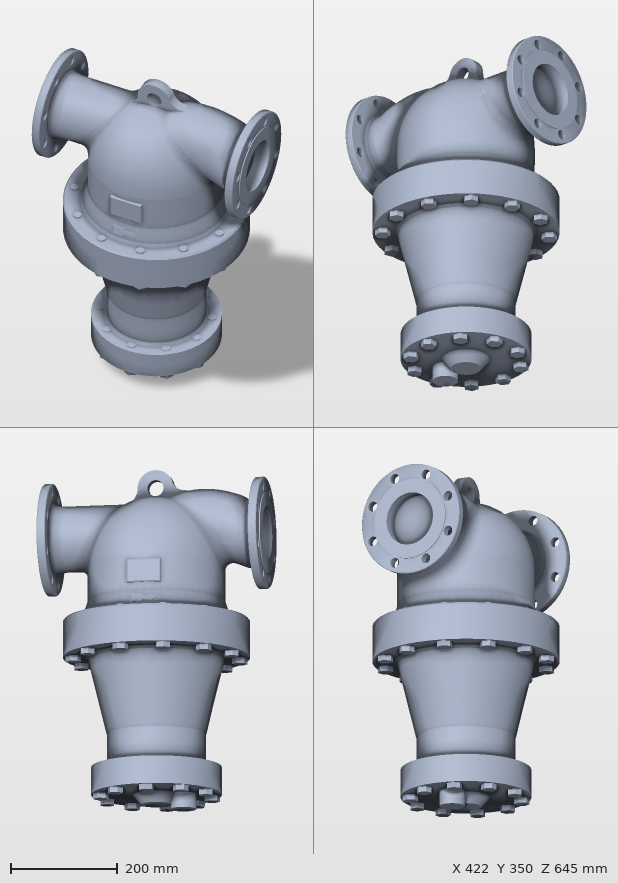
import cadquery as cq
import math

COVER_BOTTOM = 29.0
LOWER_FLANGE_TOP = 81.0
LOWER_PIPE_TOP = 144.0
REDUCER_BOTTOM = 147.5
UPPER_FLANGE_BOTTOM = 290.0
UPPER_FLANGE_TOP = 362.0
SKIRT_TOP = 396.5
DOME_EQUATOR = 466.0
NOZZLE_HEIGHT = 520.5
LUG_TOP = 645.0

BODY_RADIUS = 257.0 / 2
SKIRT_RADIUS = 138.5
SKIRT_FLARE = 6.0
UPPER_FLANGE_RADIUS = 350.0 / 2
UPPER_FLANGE_CHAMFER = 3.0
REDUCER_TOP_RADIUS = 128.0
REDUCER_FLARE = 5.0
REDUCER_BOTTOM_RADIUS = 94.0
LOWER_PIPE_RADIUS = 186.0 / 2
LOWER_HUB_RADIUS = 200 / 2
LOWER_HUB_HEIGHT = 5.0
LOWER_FLANGE_RADIUS = 245 / 2

BOLT_DIAMETER = 16.0
BOLT_HEAD_FLATS = 25.0
BOLT_HEAD_HEIGHT = 10.0
UPPER_BOLT_TIP = 3.0
LOWER_BOLT_TIP = 2.0
UPPER_BOLT_COUNT = 12
UPPER_BOLT_CIRCLE = 156.0
LOWER_BOLT_COUNT = 10
LOWER_BOLT_CIRCLE = 105.0

COVER_TOP_RADIUS = 45.0
COVER_TIP_RADIUS = 28.5
COVER_TIP_HEIGHT = 10.0
DRAIN_DIAMETER = 48.0
DRAIN_OFFSET = 51.5

NOZZLE_REACH = 211.0
RAISED_FACE_HEIGHT = 2.0
RAISED_FACE_RADIUS = 76.0
NOZZLE_FLANGE_RADIUS = 210.0 / 2
NOZZLE_FLANGE_THICKNESS = 16.0
NOZZLE_FLANGE_CHAMFER = 1.0
NOZZLE_BOLT_HOLES = 8
NOZZLE_BOLT_HOLE_DIAMETER = 19.0
NOZZLE_BOLT_CIRCLE = 88.0
NOZZLE_BORE_RADIUS = 100.0 / 2
NOZZLE_BORE_DEPTH = 29.0
PIPE_RADIUS = 124.0 / 2
HUB_START = 173.5
HUB_RADIUS = 64.5
NOZZLE_FLANGE_FLARE = 4.0
NOZZLE_BLEND = 16.0

CROWN_RADIUS = 174.0
CROWN_CENTER_X = 92.0
CROWN_TOP = 607.0
ELBOW_SECTION_ANGLES = (-35, -15, 0, 12)

LUG_RADIUS = 34.0
LUG_HOLE_DIAMETER = 30.0
LUG_THICKNESS = 20.0
LUG_SHOULDER_ANGLE = 25
LUG_INLET_FOOT = (-52.0, 583.0)
LUG_INLET_FLARE = (-40.0, 592.5)
LUG_OUTLET_FLARE = (38.0, 612.0)
LUG_OUTLET_FLARE_END = (51.0, 605.5)
LUG_OUTLET_FOOT = (62.0, 604.0)

PLATE_WIDTH = 64.5
PLATE_HEIGHT = 44.0
PLATE_CENTER_HEIGHT = 433.0
PLATE_FACE = 131.5
PLATE_EDGE = 2.0
ARROW_HEIGHT = 380.5
ARROW_RELIEF = 2.0
ARROW_TAIL = -25.0
ARROW_NOTCH = -22.0
ARROW_NECK = -1.0
ARROW_HEAD = 13.0
ARROW_TIP = 24.5
ARROW_HALF_WIDTH = 8.0
ARROW_NECK_HALF_WIDTH = 3.0


def body():
    """Dome, skirt, flanges, reducer and lower pipe as one revolved profile."""
    dome_mid = BODY_RADIUS * math.sqrt(0.5)
    skirt_foot = UPPER_FLANGE_TOP + SKIRT_FLARE
    chamfer_start = UPPER_FLANGE_RADIUS - UPPER_FLANGE_CHAMFER
    profile = (
        cq.Workplane("XZ")
        .moveTo(0, COVER_BOTTOM)
        .lineTo(LOWER_FLANGE_RADIUS, COVER_BOTTOM)
        .lineTo(LOWER_FLANGE_RADIUS, LOWER_FLANGE_TOP)
        .lineTo(LOWER_HUB_RADIUS, LOWER_FLANGE_TOP)
        .lineTo(LOWER_PIPE_RADIUS, LOWER_FLANGE_TOP + LOWER_HUB_HEIGHT)
        .lineTo(LOWER_PIPE_RADIUS, LOWER_PIPE_TOP)
        .lineTo(REDUCER_BOTTOM_RADIUS, REDUCER_BOTTOM)
        .lineTo(REDUCER_TOP_RADIUS, UPPER_FLANGE_BOTTOM - REDUCER_FLARE)
        .lineTo(REDUCER_TOP_RADIUS + REDUCER_FLARE, UPPER_FLANGE_BOTTOM)
        .lineTo(UPPER_FLANGE_RADIUS, UPPER_FLANGE_BOTTOM)
        .lineTo(UPPER_FLANGE_RADIUS, UPPER_FLANGE_TOP - UPPER_FLANGE_CHAMFER)
        .lineTo(chamfer_start, UPPER_FLANGE_TOP)
        .lineTo(SKIRT_RADIUS + SKIRT_FLARE, UPPER_FLANGE_TOP)
        .lineTo(SKIRT_RADIUS, skirt_foot)
        .lineTo(BODY_RADIUS, SKIRT_TOP)
        .lineTo(BODY_RADIUS, DOME_EQUATOR)
        .threePointArc((dome_mid, DOME_EQUATOR + dome_mid), (0, DOME_EQUATOR + BODY_RADIUS))
        .close()
    )
    return profile.revolve(360, (0, 0, 0), (0, 1, 0)).rotate((0, 0, 0), (0, 0, 1), 90)


def inlet_pipe():
    """Straight pipe from the body axis out to the hub of the inlet flange."""
    return cq.Workplane("YZ", origin=(-HUB_START, 0, NOZZLE_HEIGHT)).circle(PIPE_RADIUS).extrude(HUB_START)


def outlet_elbow():
    """Pipe that rises out of the dome and dips to the outlet flange."""
    sections = []
    for angle in ELBOW_SECTION_ANGLES:
        tilt = math.radians(angle)
        outward = cq.Vector(math.sin(tilt), 0, math.cos(tilt))
        along = cq.Vector(math.cos(tilt), 0, -math.sin(tilt))
        crown_center = cq.Vector(CROWN_CENTER_X, 0, CROWN_TOP - CROWN_RADIUS)
        center = crown_center + outward * (CROWN_RADIUS - PIPE_RADIUS)
        sections.append(cq.Wire.makeCircle(PIPE_RADIUS, center, along))
    hub_center = cq.Vector(HUB_START, 0, NOZZLE_HEIGHT)
    sections.append(cq.Wire.makeCircle(HUB_RADIUS, hub_center, cq.Vector(1, 0, 0)))
    return cq.Workplane(cq.Solid.makeLoft(sections))


def nozzle_flange(side, hub_start_radius):
    """Flange with hub and raised face; side is -1 for the inlet, +1 for the outlet."""
    face = NOZZLE_REACH - RAISED_FACE_HEIGHT
    back = face - NOZZLE_FLANGE_THICKNESS
    rim = NOZZLE_FLANGE_RADIUS - NOZZLE_FLANGE_CHAMFER
    points = [
        (HUB_START, 0),
        (HUB_START, hub_start_radius),
        (back - NOZZLE_FLANGE_FLARE, HUB_RADIUS),
        (back, HUB_RADIUS + NOZZLE_FLANGE_FLARE),
        (back, rim),
        (back + NOZZLE_FLANGE_CHAMFER, NOZZLE_FLANGE_RADIUS),
        (face - NOZZLE_FLANGE_CHAMFER, NOZZLE_FLANGE_RADIUS),
        (face, rim),
        (face, RAISED_FACE_RADIUS),
        (NOZZLE_REACH, RAISED_FACE_RADIUS),
        (NOZZLE_REACH, 0),
    ]
    outline = [(side * x, radius) for x, radius in points]
    flange = (
        cq.Workplane("XZ", origin=(0, 0, NOZZLE_HEIGHT))
        .polyline(outline)
        .close()
        .revolve(360, (0, 0, 0), (1, 0, 0))
    )
    bolt_holes = (
        cq.Workplane("YZ", origin=(side * back, 0, NOZZLE_HEIGHT))
        .polarArray(NOZZLE_BOLT_CIRCLE, 180 / NOZZLE_BOLT_HOLES, 360, NOZZLE_BOLT_HOLES)
        .circle(NOZZLE_BOLT_HOLE_DIAMETER / 2)
        .extrude(side * NOZZLE_FLANGE_THICKNESS)
    )
    return flange.cut(bolt_holes)


def nozzle_bore(side):
    """Blind bore in the face of a nozzle flange."""
    return (
        cq.Workplane("YZ", origin=(side * NOZZLE_REACH, 0, NOZZLE_HEIGHT))
        .circle(NOZZLE_BORE_RADIUS)
        .extrude(-side * NOZZLE_BORE_DEPTH)
    )


def lifting_lug():
    """Upright eye plate with flared feet on top of the dome."""
    center_height = LUG_TOP - LUG_RADIUS
    shoulder = math.radians(LUG_SHOULDER_ANGLE)
    shoulder_point = (LUG_RADIUS * math.cos(shoulder), center_height + LUG_RADIUS * math.sin(shoulder))
    foot_height = DOME_EQUATOR + BODY_RADIUS / 2
    return (
        cq.Workplane("XZ", origin=(0, LUG_THICKNESS / 2, 0))
        .moveTo(LUG_INLET_FOOT[0], foot_height)
        .lineTo(*LUG_INLET_FOOT)
        .threePointArc(LUG_INLET_FLARE, (-LUG_RADIUS, center_height))
        .threePointArc((0, LUG_TOP), shoulder_point)
        .threePointArc(LUG_OUTLET_FLARE, LUG_OUTLET_FLARE_END)
        .lineTo(*LUG_OUTLET_FOOT)
        .lineTo(LUG_OUTLET_FOOT[0], foot_height)
        .close()
        .extrude(LUG_THICKNESS)
    )


def lug_hole():
    """Cutter for the eye of the lifting lug."""
    return (
        cq.Workplane("XZ", origin=(0, LUG_THICKNESS, LUG_TOP - LUG_RADIUS))
        .circle(LUG_HOLE_DIAMETER / 2)
        .extrude(2 * LUG_THICKNESS)
    )


def bolt(flange_bottom, tip):
    """Bolt on the Z axis, hex head below the flange pair and shank up to the tip height."""
    head_corners = BOLT_HEAD_FLATS / math.cos(math.radians(30))
    head = (
        cq.Workplane("XY", origin=(0, 0, flange_bottom - BOLT_HEAD_HEIGHT))
        .polygon(6, head_corners)
        .extrude(BOLT_HEAD_HEIGHT)
    )
    shank = (
        cq.Workplane("XY", origin=(0, 0, flange_bottom))
        .circle(BOLT_DIAMETER / 2)
        .extrude(tip - flange_bottom)
    )
    return head.union(shank)


def bolt_ring(one_bolt, radius, count):
    """List of bolts spaced evenly around the Z axis, straddling the +X direction."""
    ring = []
    for index in range(count):
        angle = (index + 0.5) * 360 / count
        ring.append(one_bolt.translate((radius, 0, 0)).rotate((0, 0, 0), (0, 0, 1), angle))
    return ring


def drain_cover():
    """Tapered centre of the bottom cover with the offset drain boss."""
    cone = cq.Workplane("XZ").polyline([
        (0, COVER_TIP_HEIGHT),
        (COVER_TIP_RADIUS, COVER_TIP_HEIGHT),
        (COVER_TOP_RADIUS, COVER_BOTTOM),
        (0, COVER_BOTTOM),
    ]).close().revolve(360, (0, 0, 0), (0, 1, 0))
    drain = cq.Workplane("XY").center(DRAIN_OFFSET, 0).circle(DRAIN_DIAMETER / 2).extrude(COVER_BOTTOM)
    return cone.union(drain)


def nameplate():
    """Flat raised plate on the -Y side of the body."""
    return (
        cq.Workplane("XZ", origin=(0, -BODY_RADIUS / 2, PLATE_CENTER_HEIGHT))
        .rect(PLATE_WIDTH, PLATE_HEIGHT)
        .extrude(PLATE_FACE - BODY_RADIUS / 2)
        .faces("<Y")
        .chamfer(PLATE_EDGE)
    )


def flow_arrow():
    """Flow arrow pointing to +X, raised from the conical skirt on the -Y side."""
    upper_edge = [
        (ARROW_NOTCH, 0),
        (ARROW_TAIL, ARROW_HALF_WIDTH),
        (ARROW_NECK, ARROW_HALF_WIDTH),
        (ARROW_NECK, ARROW_NECK_HALF_WIDTH),
        (ARROW_HEAD, ARROW_NECK_HALF_WIDTH),
        (ARROW_HEAD, ARROW_HALF_WIDTH),
        (ARROW_TIP, 0),
    ]
    lower_edge = [(x, -height) for x, height in reversed(upper_edge[1:-1])]
    arrow = (
        cq.Workplane("XZ", origin=(0, -BODY_RADIUS / 2, ARROW_HEIGHT))
        .polyline(upper_edge + lower_edge)
        .close()
        .extrude(BODY_RADIUS)
    )
    foot = UPPER_FLANGE_TOP + SKIRT_FLARE
    raised_skirt = cq.Workplane("XZ").polyline([
        (0, foot),
        (SKIRT_RADIUS + ARROW_RELIEF, foot),
        (BODY_RADIUS + ARROW_RELIEF, SKIRT_TOP),
        (0, SKIRT_TOP),
    ]).close().revolve(360, (0, 0, 0), (0, 1, 0))
    return arrow.intersect(raised_skirt)


def seam_edges(joined):
    """Free-form edges where the nozzles meet the dome, without those at the hubs."""
    seams = []
    for edge in joined.edges().vals():
        is_seam = edge.geomType() not in ("CIRCLE", "LINE")
        if is_seam and abs(edge.Center().x) < BODY_RADIUS and edge.BoundingBox().xmax < HUB_START:
            seams.append(edge)
    return seams


shell = body()
shell = shell.union(inlet_pipe())
shell = shell.union(outlet_elbow())
result = shell.newObject(seam_edges(shell)).fillet(NOZZLE_BLEND)
result = result.union(nozzle_flange(-1, PIPE_RADIUS))
result = result.union(nozzle_flange(1, HUB_RADIUS))
result = result.union(lifting_lug())
result = result.union(drain_cover())
result = result.union(nameplate())
result = result.union(flow_arrow())

upper_bolt = bolt(UPPER_FLANGE_BOTTOM, UPPER_FLANGE_TOP + UPPER_BOLT_TIP)
lower_bolt = bolt(COVER_BOTTOM, LOWER_FLANGE_TOP + LOWER_BOLT_TIP)
upper_ring = bolt_ring(upper_bolt, UPPER_BOLT_CIRCLE, UPPER_BOLT_COUNT)
lower_ring = bolt_ring(lower_bolt, LOWER_BOLT_CIRCLE, LOWER_BOLT_COUNT)
for fastener in upper_ring + lower_ring:
    result = result.union(fastener)

for side in (-1, 1):
    result = result.cut(nozzle_bore(side))
result = result.cut(lug_hole())